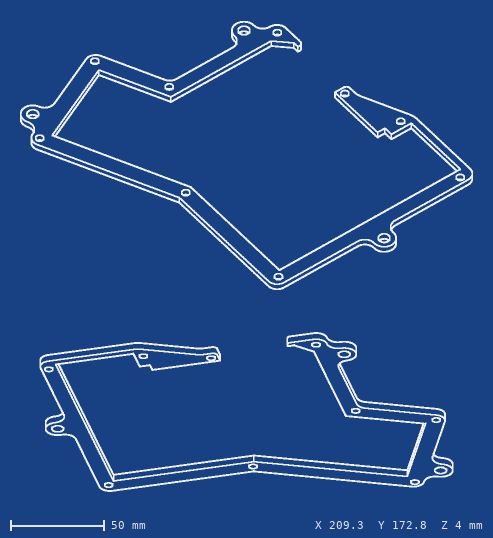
import cadquery as cq
import math

thickness = 4.0
slant = 25.0
steep = slant - 90
slanted_width = 9.8
bottom_width = 9.6
corner_radius = 5.9

left_outer, left_inner = 41.6, 50.5
shoulder_y = 158.5
step_y = 155.3
hook_tip_x = 62.5
hook_notch_x = 59.0
hook_root_y = 146.5
tip_radius = 2.3

right_inner, right_outer = 187.3, 196.0
top_inner, top_outer = 168.6, 173.0
flap_left, flap_right = 101.3, 138.7
flap_step_x = 144.4
flap_bottom = 150.2
flap_slope_start = 110.0
flap_blend_radius = 10.5

bottom_inner = 46.5
bottom_outer = bottom_inner - bottom_width
slant_reach = math.cos(math.radians(slant)) + math.sin(math.radians(slant))
west_x = corner_radius + (slanted_width - corner_radius) * slant_reach
west_corner = (west_x, 60.5)
bottom_bend = (109.6, bottom_inner)

screw_diameter = 4.4
lug_hole_diameter = 6.3
lug_radius = 6.5
lug_blend_radius = 6.0
lug_overlap = 4.2
screw_points = [
    (47.5, 153.0), (44.0, 82.6), (4.5, 62.8), (31.5, 4.5), (111.3, 41.8),
    (190.8, 43.0), (192.0, 164.9), (139.8, 165.0), (105.2, 154.0),
]
left_lug = (35.4, 139.8)
right_lug = (202.8, 105.2)
lower_lug = (15.3, 12.5)


def meet(p, p_angle, q, q_angle):
    """Crossing of two lines, each given by a point and an angle in degrees."""
    a, b = math.radians(p_angle), math.radians(q_angle)
    along = ((q[0] - p[0]) * math.sin(b) - (q[1] - p[1]) * math.cos(b)) / math.sin(b - a)
    return (p[0] + along * math.cos(a), p[1] + along * math.sin(a))


def shifted(p, angle, distance):
    """Point moved a distance in the direction of an angle in degrees."""
    a = math.radians(angle)
    return (p[0] + distance * math.cos(a), p[1] + distance * math.sin(a))


def round_corners(body, points, radius):
    """Fillet the upright edges that stand at the given points."""
    for x, y in points:
        edge = cq.selectors.NearestToPointSelector((x, y, thickness / 2))
        body = body.edges("|Z").edges(edge).fillet(radius)
    return body


def frame():
    """Open frame from the hook, round the lower rails, to the flap."""
    upper_edge = shifted(west_corner, slant + 90, slanted_width)
    west_edge = shifted(west_corner, steep - 90, slanted_width)
    lower_edge = shifted(bottom_bend, slant - 90, slanted_width)

    elbow_in = meet(west_corner, slant, (left_inner, 0), 90)
    south_in = meet(west_corner, steep, bottom_bend, slant)
    elbow_out = meet(upper_edge, slant, (left_outer, 0), 90)
    west_out = meet(upper_edge, slant, west_edge, steep)
    south_out = meet(lower_edge, slant, west_edge, steep)
    bend_out = meet(lower_edge, slant, (0, bottom_outer), 0)

    hook_corner = (left_outer, shoulder_y)
    hook_tip = (hook_tip_x, shoulder_y)
    right_bottom = (right_outer, bottom_outer)
    right_top = (right_outer, top_outer)
    slope_low = (flap_slope_start, shoulder_y)
    slope_high = meet(slope_low, slant, (0, top_outer), 0)
    flap_corner = (flap_left, shoulder_y)

    inner_side = [
        (hook_tip_x, step_y), (hook_notch_x, step_y), (left_inner, hook_root_y),
        elbow_in, west_corner, south_in, bottom_bend,
        (right_inner, bottom_inner), (right_inner, top_inner),
        (flap_step_x, top_inner), (flap_step_x, step_y),
        (flap_right, step_y), (flap_right, flap_bottom), (flap_left, flap_bottom),
    ]
    outer_side = [
        flap_corner, slope_low, slope_high, right_top, right_bottom,
        bend_out, south_out, west_out, elbow_out, hook_corner, hook_tip,
    ]
    body = cq.Workplane("XY").polyline(inner_side + outer_side).close().extrude(thickness)
    main_corners = [hook_corner, elbow_out, west_out, south_out, right_bottom, right_top]
    body = round_corners(body, main_corners, corner_radius)
    body = round_corners(body, [hook_tip, flap_corner], tip_radius)
    body = round_corners(body, [slope_low, slope_high], flap_blend_radius)
    return body, west_edge


def lug(center, outward, reach):
    """Round lug, reach beyond a straight edge, blended into it on both sides."""
    blend = lug_blend_radius
    spread = blend + lug_radius
    half_foot = math.sqrt(spread**2 - (reach - blend) ** 2)
    touch_x = reach + (blend - reach) * lug_radius / spread
    touch_y = half_foot * lug_radius / spread

    end_angle = math.atan2(touch_y - half_foot, touch_x - blend)
    middle_angle = (end_angle - math.pi) / 2
    middle_x = blend + blend * math.cos(middle_angle)
    middle_y = half_foot + blend * math.sin(middle_angle)
    root = -lug_overlap
    profile = (
        cq.Workplane("XY")
        .moveTo(root, -half_foot)
        .lineTo(0, -half_foot)
        .threePointArc((middle_x, -middle_y), (touch_x, -touch_y))
        .threePointArc((reach + lug_radius, 0), (touch_x, touch_y))
        .threePointArc((middle_x, middle_y), (0, half_foot))
        .lineTo(root, half_foot)
        .close()
    )
    foot = shifted(center, outward, -reach)
    return profile.extrude(thickness).rotate((0, 0, 0), (0, 0, 1), outward).translate((*foot, 0))


def holes(points, diameter):
    """Cylinders that cut round holes through the plate."""
    return cq.Workplane("XY").pushPoints(points).circle(diameter / 2).extrude(thickness)


lower_outward = steep - 90
result, west_edge = frame()
lower_foot = meet(lower_lug, lower_outward, west_edge, steep)
lower_reach = math.dist(lower_lug, lower_foot)
result = result.union(lug(left_lug, 180, left_outer - left_lug[0]))
result = result.union(lug(right_lug, 0, right_lug[0] - right_outer))
result = result.union(lug(lower_lug, lower_outward, lower_reach))
result = result.cut(holes(screw_points, screw_diameter))
result = result.cut(holes([left_lug, right_lug, lower_lug], lug_hole_diameter))